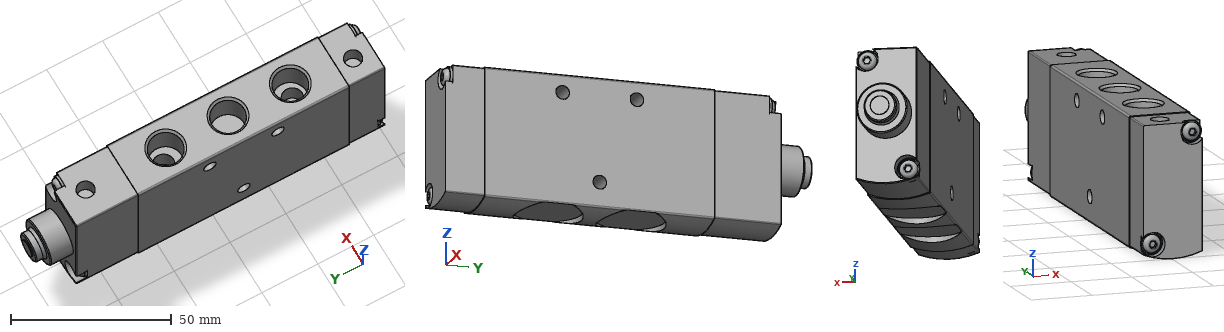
import cadquery as cq
import math


block_width = 20.0
block_height = 43.8
block_length = 75.5
edge_radius = 0.6
crown_rise = 1.8

cap_inset = 0.31
end_cap_length = 12.9
pilot_cap_length = 22.2
cap_edge_radius = 0.4
outer_face_chamfer = 0.31
cap_hole_diameter = 5.9
cap_hole_depth = 6.1
end_hole_x = -2.0
end_hole_y = 7.0
pilot_hole_inset = 9.0

port_bore = 11.4
port_mouth = 13.0
port_depth = 11.0
port_spacing = 22.3
passage_diameter = 7.0
passage_depth = 7.4
passage_spread = 23.0

spot_face_diameter = 21.8
spot_face_spacing = 27.2
spot_face_z = crown_rise

cross_hole_diameter = 4.4
upper_hole_spacing = 24.4
upper_hole_z = 37.9
lower_hole_z = 9.9

screw_x = 6.5
screw_upper_z = 40.2
screw_lower_z = 5.3
screw_pocket_diameter = 7.7
end_pocket_depth = 2.5
pilot_pocket_depth = 4.0
head_flange_diameter = 6.7
head_flange = 0.9
head_dome_diameter = 5.9
head_height = 2.5
head_flat_diameter = 3.0
socket_diameter = 2.5
socket_core_diameter = 2.1
socket_lobe_diameter = 0.6
socket_lobes = 6
socket_depth = 1.2

total_length = 122.6
connector_z = 22.7
barrel_diameter = 15.9
barrel_length = 8.1
barrel_chamfer = 0.4
neck_diameter = 10.0
flare_diameter = 11.0
flare_length = 1.1
tip_diameter = 5.9
tip_length = 0.4
neck_chamfer = 0.4

block_start = end_cap_length
block_end = block_start + block_length
block_middle = (block_start + block_end) / 2
pilot_end = block_end + pilot_cap_length


def crowned_bar(inset, start, length, radius):
    """Bar along Y with a flat top, a curved underside and rounded long edges."""
    half = block_width / 2 - inset
    top = block_height - inset
    return (
        cq.Workplane("XZ", origin=(0, start, 0))
        .moveTo(-half, top)
        .lineTo(-half, inset + crown_rise)
        .threePointArc((0, inset), (half, inset + crown_rise))
        .lineTo(half, top)
        .close()
        .extrude(-length)
        .edges("|Y")
        .fillet(radius)
    )


def top_hole(x, y, top, diameter, depth):
    """Cutter for a vertical blind hole going down from the height 'top'."""
    return cq.Workplane("XY", origin=(x, y, top)).circle(diameter / 2).extrude(-depth)


def port(y):
    """Cutter for a threaded port: a bore with a 45 degree countersunk mouth."""
    bore = top_hole(0, y, block_height, port_bore, port_depth)
    mouth_depth = (port_mouth - port_bore) / 2
    mouth = (
        cq.Workplane("XY", origin=(0, y, block_height))
        .circle(port_mouth / 2)
        .extrude(-mouth_depth, taper=45)
    )
    return bore.union(mouth)


def cross_hole(y, z):
    return (
        cq.Workplane("YZ", origin=(-block_width / 2, y, z))
        .circle(cross_hole_diameter / 2)
        .extrude(block_width)
    )


def spot_face(y):
    return cq.Workplane("XY", origin=(0, y, 0)).circle(spot_face_diameter / 2).extrude(spot_face_z)


def make_block():
    block = crowned_bar(0, block_start, block_length, edge_radius)
    for side in (-1, 0, 1):
        block = block.cut(port(block_middle + side * port_spacing))
    for side in (-1, 1):
        passage_y = block_middle + side * passage_spread
        passage_top = block_height - port_depth
        block = block.cut(top_hole(0, passage_y, passage_top, passage_diameter, passage_depth))
        block = block.cut(cross_hole(block_middle + side * upper_hole_spacing / 2, upper_hole_z))
        block = block.cut(spot_face(block_middle + side * spot_face_spacing / 2))
    return block.cut(cross_hole(block_middle, lower_hole_z))


def socket():
    """Cutter for the six-lobed drive socket, centred on Z with its mouth at the head's top."""
    lobe_circle = (socket_diameter - socket_lobe_diameter) / 2
    base = cq.Workplane("XY", origin=(0, 0, head_height - socket_depth))
    star = base.circle(socket_core_diameter / 2).extrude(socket_depth)
    lobes = (
        base.polarArray(lobe_circle, 0, 360, socket_lobes)
        .circle(socket_lobe_diameter / 2)
        .extrude(socket_depth)
    )
    return star.union(lobes)


def screw_head():
    """Flanged, domed head standing on Z = 0 with its top at head_height."""
    dome = head_dome_diameter / 2
    flat = head_flat_diameter / 2
    mid_r = flat + (dome - flat) * math.cos(math.pi / 4)
    mid_z = head_flange + (head_height - head_flange) * math.sin(math.pi / 4)
    head = (
        cq.Workplane("XZ")
        .lineTo(head_flange_diameter / 2, 0)
        .lineTo(head_flange_diameter / 2, head_flange)
        .lineTo(dome, head_flange)
        .threePointArc((mid_r, mid_z), (flat, head_height))
        .lineTo(0, head_height)
        .close()
        .revolve(360, (0, 0, 0), (0, 1, 0))
    )
    return head.cut(socket())


def add_screws(cap, face_y, outward, pocket_depth):
    """Sink the two corner screws, fixed in the cap, into pockets in its outer face."""
    floor_y = face_y - outward * pocket_depth

    corner = (
        cq.Workplane("XZ", origin=(screw_x, floor_y, screw_upper_z))
        .rect(block_width / 2 - screw_x, block_height - screw_upper_z, centered=False)
        .extrude(-outward * pocket_depth)
    )
    cap = cap.cut(corner)

    for x, z in ((screw_x, screw_upper_z), (-screw_x, screw_lower_z)):
        pocket = (
            cq.Workplane("XZ", origin=(x, floor_y, z))
            .circle(screw_pocket_diameter / 2)
            .extrude(-outward * pocket_depth)
        )
        head = (
            screw_head()
            .rotate((0, 0, 0), (1, 0, 0), -outward * 90)
            .translate((x, floor_y, z))
        )
        cap = cap.cut(pocket).union(head)
    return cap


def make_end_cap():
    cap = crowned_bar(cap_inset, 0, end_cap_length, cap_edge_radius)
    cap_top = block_height - cap_inset
    cap = cap.cut(top_hole(end_hole_x, end_hole_y, cap_top, cap_hole_diameter, cap_hole_depth))
    return add_screws(cap, 0, -1, end_pocket_depth)


def make_pilot_cap():
    cap = crowned_bar(cap_inset, block_end, pilot_cap_length, cap_edge_radius)
    cap = cap.faces(">Y").chamfer(outer_face_chamfer)
    cap_top = block_height - cap_inset
    hole_y = pilot_end - pilot_hole_inset
    cap = cap.cut(top_hole(0, hole_y, cap_top, cap_hole_diameter, cap_hole_depth))
    return add_screws(cap, pilot_end, 1, pilot_pocket_depth)


def make_connector():
    """Stepped round plug turned about the Y axis; each profile point is (radius, Y)."""
    shoulder = pilot_end + barrel_length
    neck_end = total_length - tip_length
    barrel = barrel_diameter / 2
    neck = neck_diameter / 2
    tip = tip_diameter / 2
    profile = [
        (0, pilot_end),
        (barrel, pilot_end),
        (barrel, shoulder - barrel_chamfer),
        (barrel - barrel_chamfer, shoulder),
        (flare_diameter / 2, shoulder),
        (neck, shoulder + flare_length),
        (neck, neck_end - neck_chamfer),
        (neck - neck_chamfer, neck_end),
        (tip, neck_end),
        (tip, total_length),
        (0, total_length),
    ]
    plug = cq.Workplane("XY").polyline(profile).close().revolve(360, (0, 0, 0), (0, 1, 0))
    return plug.translate((0, 0, connector_z))


block = make_block()
end_cap = make_end_cap()
pilot_cap = make_pilot_cap()
connector = make_connector()

result = cq.Compound.makeCompound([
    *block.solids().vals(),
    *end_cap.solids().vals(),
    *pilot_cap.solids().vals(),
    *connector.solids().vals(),
])